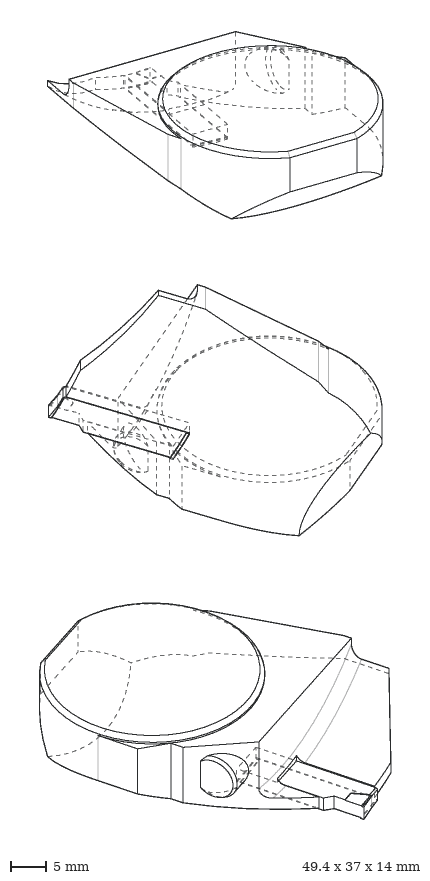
import cadquery as cq


disc_radius = 16.0
disc_flat_x = 15.0
disc_top_z = 14.0
disc_chamfer = 0.7
body_top_z = 13.05
front_y = -21.0
shoulder_y = 12.6
shoulder_start_x = -11.9
shoulder_end_x = -9.9
blade_tip_x = -33.6
end_bevel_z = 7.75

underside_radius = 29.85
underside_low_z = 0.25
underside_axis_z = underside_low_z + underside_radius
floor_radius = 33.05
floor_low_z = 2.3
wall_x = -20.75
wall_fillet = 1.65

screw_x = -16.05
screw_z = 7.95
screw_radius = 3.5
screw_top_y = 11.15
screw_depth = 9.85
screw_chamfer_height = 0.6
screw_chamfer_width = 0.35

tip_x = -34.35
tip_relief = 0.25
tip_y = 0.2
nose_corner_y = -2.45
insert_back_x = -14.4
insert_rear_y = 1.35
insert_front_y = -4.35
insert_bevel_x = -28.45
insert_top_z = 2.4
nose_edge_z = 2.2
nose_bevel_length = 0.3
insert_pocket_end_x = -20.95
lip_length = 0.5
lip_height = 0.15
insert_clearance_z = 5.9
chip_pocket_depth = 0.1
chip_pocket_length = 3.05
chip_pocket_rear_y = -1.6
chip_pocket_nose_y = -2.75

margin = 4.95


def cylinder_along_x(radius, axis_z, start_x, end_x):
    section = cq.Workplane("YZ", origin=(start_x, 0, 0)).center(0, axis_z).circle(radius)
    return section.extrude(end_x - start_x)


def box_between(low, high):
    size = [high[i] - low[i] for i in range(3)]
    return cq.Workplane("XY").box(*size, centered=False).translate(low)


def make_body_blank():
    outline = [
        (blade_tip_x, insert_front_y),
        (blade_tip_x, -9.2),
        (-26.8, front_y),
        (-19.5, front_y),
        (0, -16.85),
        (2.05, -15.85),
        (0, 0),
        (0, disc_radius),
        (-6.4, disc_radius),
        (shoulder_end_x, shoulder_y),
        (shoulder_start_x, shoulder_y),
        (-27.75, insert_rear_y),
        (-27.75, insert_front_y),
    ]
    blank = cq.Workplane("XY").polyline(outline).close().extrude(body_top_z)
    disc = cq.Workplane("XY").circle(disc_radius).extrude(disc_top_z)
    beyond_flat = box_between(
        (disc_flat_x, -disc_radius - margin, -margin),
        (disc_flat_x + margin, disc_radius + margin, disc_top_z + margin),
    )
    disc = disc.cut(beyond_flat).faces(">Z").chamfer(disc_chamfer)
    return blank.union(disc)


def make_blade_space():
    """Space above the blade, with a rounded lower edge along the upright wall."""
    start_x = tip_x - margin
    floor = cylinder_along_x(floor_radius, floor_low_z + floor_radius, start_x, wall_x)
    return floor.faces(">X").edges().fillet(wall_fillet)


def make_end_bevel():
    run = end_bevel_z + margin
    corner_x = disc_flat_x + margin
    profile = [
        (disc_flat_x - run, end_bevel_z - run),
        (corner_x, end_bevel_z - run),
        (corner_x, end_bevel_z + margin),
    ]
    section = cq.Workplane("XZ").polyline(profile).close()
    return section.extrude(disc_radius + margin, both=True)


def make_screw_head():
    profile = [
        (0, screw_top_y - screw_depth),
        (screw_radius, screw_top_y - screw_depth),
        (screw_radius, screw_top_y - screw_chamfer_height),
        (screw_radius - screw_chamfer_width, screw_top_y),
        (0, screw_top_y),
    ]
    head = cq.Workplane("XY").polyline(profile).close().revolve(360, (0, 0), (0, 1))
    return head.translate((screw_x, 0, screw_z))


def make_insert():
    nose_x = tip_x + tip_relief
    outline = [
        (tip_x, tip_y),
        (nose_x, nose_corner_y),
        (nose_x, insert_front_y),
        (insert_back_x, insert_front_y),
        (insert_back_x, insert_rear_y),
        (insert_bevel_x, insert_rear_y),
        (insert_bevel_x - (insert_rear_y - tip_y), tip_y),
    ]
    blank = cq.Workplane("XY").polyline(outline).close().extrude(insert_top_z)

    side = [
        (tip_x, 0),
        (tip_x, nose_edge_z),
        (nose_x, nose_edge_z),
        (nose_x + nose_bevel_length, insert_top_z),
        (insert_back_x, insert_top_z),
        (insert_back_x, 0),
    ]
    side_prism = cq.Workplane("XZ").polyline(side).close().extrude(margin * 2, both=True)

    underside_shape = cylinder_along_x(
        underside_axis_z - lip_height, underside_axis_z, tip_x, insert_back_x
    )
    for lip_x in (tip_x, insert_back_x - lip_length):
        lip = cylinder_along_x(underside_axis_z, underside_axis_z, lip_x, lip_x + lip_length)
        underside_shape = underside_shape.union(lip)
    insert = blank.intersect(side_prism).intersect(underside_shape)

    pocket_x = tip_x + chip_pocket_length
    pocket = [
        (tip_x, tip_y),
        (tip_x, chip_pocket_nose_y),
        (pocket_x, chip_pocket_rear_y),
        (pocket_x, tip_y),
    ]
    floor_z = insert_top_z - chip_pocket_depth
    cutter = cq.Workplane("XY", origin=(0, 0, floor_z)).polyline(pocket).close().extrude(margin)
    return insert.cut(cutter)


def make_holder(insert):
    underside = cylinder_along_x(underside_radius, underside_axis_z, tip_x, disc_flat_x)
    holder = make_body_blank().intersect(underside).cut(make_blade_space())
    holder = holder.cut(make_end_bevel()).union(make_screw_head())
    clearance = box_between(
        (tip_x, insert_front_y, floor_low_z),
        (insert_pocket_end_x, insert_rear_y, insert_clearance_z),
    )
    return holder.cut(clearance).cut(insert)


insert = make_insert()
holder = make_holder(insert)
result = cq.Compound.makeCompound([holder.solids().val(), insert.solids().val()])